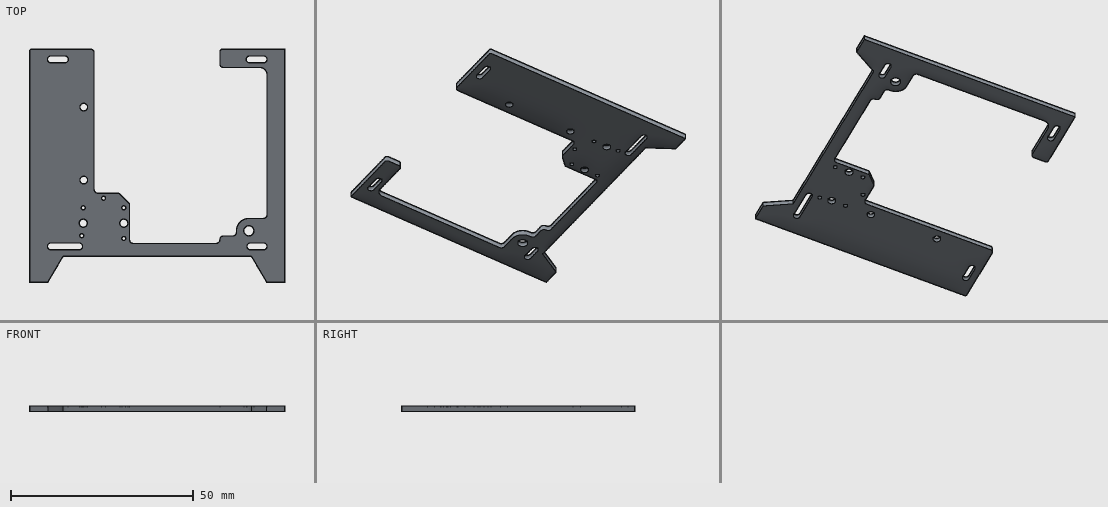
import cadquery as cq

length = 70.0
height = 64.0
thickness = 1.6

leg_foot = 5.0
leg_root = 9.2
beam_bottom = 7.15
beam_top = 10.7
left_panel_right = 17.7
pad_right = 27.45
pad_top = 24.5
pad_chamfer = 2.95
right_column_left = 65.1
arm_tip = 52.15
arm_bottom = 58.95
step_top = 12.75

pivot_x = 60.1
pivot_y = 14.15
boss_radius = 3.4
boss_left = pivot_x - boss_radius
boss_top = pivot_y + boss_radius

corner_radius = 1.0
panel_corner_radius = 0.5
arm_root_radius = 2.0
arm_top_radius = 0.7

slot_width = 1.8
upper_slot_y = height - 2.8
lower_slot_y = 9.9
slot_outer_margin = 4.9
right_slot_end = length - slot_outer_margin
slots = [
    (slot_outer_margin, 10.6, upper_slot_y),
    (slot_outer_margin, 14.5, lower_slot_y),
    (59.4, right_slot_end, upper_slot_y),
    (59.65, right_slot_end, lower_slot_y),
]

panel_hole_x = 14.85
pad_left_x = 14.7
pad_right_x = 25.8
pad_hole_y = 16.25
pilot_y = 20.45
holes = {
    2.0: [(panel_hole_x, 48.1), (panel_hole_x, 28.1)],
    2.2: [(pad_left_x, pad_hole_y), (pad_right_x, pad_hole_y)],
    2.7: [(pivot_x, pivot_y)],
    1.05: [
        ((pad_left_x + pad_right_x) / 2, 23.1),
        (pad_left_x, pilot_y),
        (pad_right_x, pilot_y),
        (14.3, 12.8),
        (pad_right_x, 12.05),
    ],
}

corners = [
    (0, 0, 0),
    (leg_foot, 0, 0),
    (leg_root, beam_bottom, 0),
    (length - leg_root, beam_bottom, 0),
    (length - leg_foot, 0, 0),
    (length, 0, 0),
    (length, height, 0),
    (arm_tip, height, arm_top_radius),
    (arm_tip, arm_bottom, corner_radius),
    (right_column_left, arm_bottom, arm_root_radius),
    (right_column_left, boss_top, corner_radius),
    (boss_left, boss_top, boss_radius),
    (boss_left, step_top, corner_radius),
    (arm_tip, step_top, corner_radius),
    (arm_tip, beam_top, corner_radius),
    (pad_right, beam_top, corner_radius),
    (pad_right, pad_top - pad_chamfer, 0),
    (pad_right - pad_chamfer, pad_top, corner_radius),
    (left_panel_right, pad_top, corner_radius),
    (left_panel_right, height, corner_radius),
    (0, height, panel_corner_radius),
]


def make_plate():
    """Extrude the outline and round its marked corners."""
    points = [(x, y) for x, y, radius in corners]
    plate = cq.Workplane("XY").polyline(points).close().extrude(thickness)
    for x, y, radius in corners:
        if radius > 0:
            corner_edge = cq.selectors.NearestToPointSelector((x, y, thickness / 2))
            plate = plate.edges("|Z").edges(corner_edge).fillet(radius)
    return plate


def cut_slots(plate):
    """Cut the round-ended mounting slots through the plate."""
    for left, right, y in slots:
        centre = ((left + right) / 2, y)
        slot = cq.Workplane("XY").pushPoints([centre]).slot2D(right - left, slot_width)
        plate = plate.cut(slot.extrude(thickness))
    return plate


def drill_holes(plate):
    """Drill every group of round holes through the plate."""
    for diameter, centres in holes.items():
        drills = cq.Workplane("XY").pushPoints(centres).circle(diameter / 2).extrude(thickness)
        plate = plate.cut(drills)
    return plate


result = drill_holes(cut_slots(make_plate()))